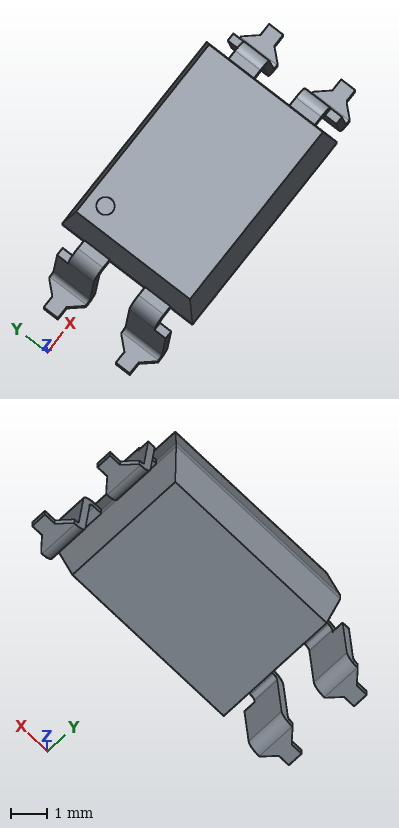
import cadquery as cq
import math

overall_length = 10.15
overall_height = 4.3

housing_length = 6.5
housing_width = 4.58
housing_bottom = 0.8
band_top = 2.69
end_taper = 0.25
side_taper = 0.28

lead_thickness = 0.25
lead_width = 1.29
lead_pitch = 2.54
neck_width = 0.89
shoulder_height = 2.17
inner_bend_radius = 0.16
upper_bend_x = 3.54
lower_bend_x = 4.29

toe_width = 0.5
toe_length = 0.4
foot_taper_end_x = 4.32

marker_x = -2.36
marker_y = 1.46
marker_radius = 0.25
marker_depth = 0.1

band_bottom = band_top - lead_thickness
half_length = overall_length / 2
half_housing = housing_length / 2
outer_bend_radius = inner_bend_radius + lead_thickness
upper_bend_z = band_top - outer_bend_radius
lower_bend_z = outer_bend_radius

bend_run = lower_bend_x - upper_bend_x
bend_drop = upper_bend_z - lower_bend_z
leg_tilt = math.atan2(bend_run, bend_drop) - math.asin(
    (inner_bend_radius + outer_bend_radius) / math.hypot(bend_run, bend_drop)
)


def make_frustum(base_z, height):
    """Taper from the band outline at base_z to the smaller end face; a negative height goes down."""
    return (
        cq.Workplane("XY", origin=(0, 0, base_z))
        .rect(housing_length, housing_width)
        .workplane(offset=height)
        .rect(housing_length - 2 * end_taper, housing_width - 2 * side_taper)
        .loft(ruled=True)
    )


def make_moulding():
    band = (
        cq.Workplane("XY", origin=(0, 0, band_bottom))
        .rect(housing_length, housing_width)
        .extrude(lead_thickness)
    )
    upper = make_frustum(band_top, overall_height - band_top)
    lower = make_frustum(band_bottom, housing_bottom - band_bottom)
    return band.union(upper).union(lower)


def upper_bend_point(radius, angle):
    """Point on the upper bend; angles run counterclockwise from +X in the XZ plane."""
    return (upper_bend_x + radius * math.cos(angle), upper_bend_z + radius * math.sin(angle))


def lower_bend_point(radius, angle):
    """Point on the lower bend, at an angle measured from -X towards -Z."""
    return (lower_bend_x - radius * math.cos(angle), lower_bend_z - radius * math.sin(angle))


def make_lead_strip():
    """Full-width bent strip on the +X side, centred on Y = 0."""
    bend_middle = (leg_tilt + math.pi / 2) / 2
    profile = (
        cq.Workplane("XZ")
        .moveTo(half_housing, band_top)
        .lineTo(upper_bend_x, band_top)
        .threePointArc(
            upper_bend_point(outer_bend_radius, bend_middle),
            upper_bend_point(outer_bend_radius, leg_tilt),
        )
        .lineTo(*lower_bend_point(inner_bend_radius, leg_tilt))
        .threePointArc(
            lower_bend_point(inner_bend_radius, bend_middle),
            (lower_bend_x, lead_thickness),
        )
        .lineTo(half_length, lead_thickness)
        .lineTo(half_length, 0)
        .lineTo(lower_bend_x, 0)
        .threePointArc(
            lower_bend_point(outer_bend_radius, bend_middle),
            lower_bend_point(outer_bend_radius, leg_tilt),
        )
        .lineTo(*upper_bend_point(inner_bend_radius, leg_tilt))
        .threePointArc(
            upper_bend_point(inner_bend_radius, bend_middle),
            (upper_bend_x, band_bottom),
        )
        .lineTo(half_housing, band_bottom)
        .close()
    )
    return profile.extrude(lead_width / 2, both=True)


def make_foot_outline():
    """Prism whose plan shape narrows the foot to its toe."""
    toe_start_x = half_length - toe_length
    half_lead = lead_width / 2
    half_toe = toe_width / 2
    return (
        cq.Workplane("XY")
        .moveTo(half_housing, -half_lead)
        .lineTo(foot_taper_end_x, -half_lead)
        .lineTo(toe_start_x, -half_toe)
        .lineTo(half_length, -half_toe)
        .lineTo(half_length, half_toe)
        .lineTo(toe_start_x, half_toe)
        .lineTo(foot_taper_end_x, half_lead)
        .lineTo(half_housing, half_lead)
        .close()
        .extrude(band_top)
    )


def make_lead():
    """Lead at the +X, +Y corner; the strip is cut back on its outer side above the shoulder."""
    shoulder_cut = (
        cq.Workplane("XY")
        .box(half_length, lead_width, overall_height, centered=False)
        .translate((half_housing, neck_width - lead_width / 2, shoulder_height))
    )
    lead = make_lead_strip().intersect(make_foot_outline()).cut(shoulder_cut)
    return lead.translate((0, lead_pitch / 2, 0))


def make_marker():
    return (
        cq.Workplane("XY", origin=(marker_x, marker_y, overall_height - marker_depth))
        .circle(marker_radius)
        .extrude(marker_depth)
    )


def make_housing():
    """Moulding with its four leads, recessed for the marker."""
    housing = make_moulding()
    right_rear_lead = make_lead()
    right_front_lead = right_rear_lead.mirror("XZ")
    for lead in (right_rear_lead, right_front_lead):
        housing = housing.union(lead).union(lead.mirror("YZ"))
    return housing.cut(make_marker())


housing = make_housing()
marker = make_marker()

result = cq.Compound.makeCompound([*housing.vals(), marker.val()])